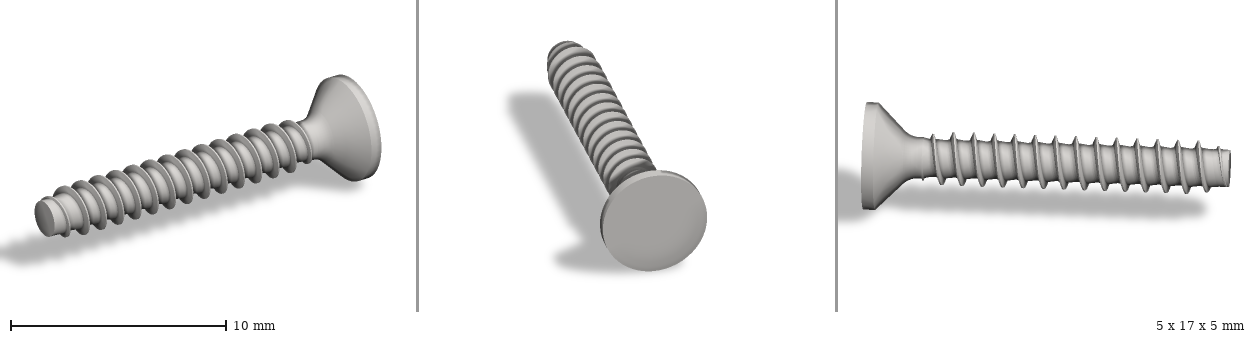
import cadquery as cq
import math


LENGTH = 17.0
HEAD_RADIUS = 2.5
HEAD_RIM = 0.55
CONE_END_RADIUS = 1.25
NECK_FILLET = 1.0
HEAD_HALF_ANGLE = math.radians(45)

CORE_RADIUS = 0.865
NECK_TAPER_START = 2.70
NECK_TAPER_END = 3.10
TIP_CONE_HEIGHT = 0.03
TIP_MARGIN = 0.005

PITCH = 0.95
THREAD_RADIUS = 1.25
THREAD_START = 2.73
THREAD_TURNS = 14.875
START_TURN = 0.5
RUN_IN_TURNS = 1.0
RUN_OUT_TURNS = 1.375
RUN_IN_RADIUS = 1.05
RUN_OUT_RADIUS = 0.91
STEPS_PER_TURN = 24
STEPS_PER_PATCH = STEPS_PER_TURN // 2

CREST_HALF_WIDTH = 0.035
HEAD_FLANK_WIDTH = 0.135
HEAD_FLANK_RADIUS = 0.90
TIP_FLANK_WIDTH = 0.095
TIP_FLANK_RADIUS = 0.93
HEAD_RAMP_OFFSET = -0.32
TIP_RAMP_OFFSET = 0.60
RAMP_RADIUS = 0.86
ROOT_RADIUS = 0.75

LEAD_TURNS = 0.375
LEAD_HALF_WIDTH = 0.045

cone_end = HEAD_RIM + (HEAD_RADIUS - CONE_END_RADIUS) / math.tan(HEAD_HALF_ANGLE)
neck_radius = CONE_END_RADIUS - NECK_FILLET * (1 - math.cos(HEAD_HALF_ANGLE))
neck_start = cone_end + NECK_FILLET * math.sin(HEAD_HALF_ANGLE)
tip_edge = LENGTH - TIP_CONE_HEIGHT
last_ramp_end = tip_edge - TIP_MARGIN


def make_blank():
    """Revolve the head, the neck and the plain core."""
    half_angle = HEAD_HALF_ANGLE / 2
    fillet_middle = (
        -(neck_start - NECK_FILLET * math.sin(half_angle)),
        neck_radius + NECK_FILLET * (1 - math.cos(half_angle)),
    )
    return (
        cq.Workplane("YZ")
        .moveTo(0, 0)
        .lineTo(0, HEAD_RADIUS)
        .lineTo(-HEAD_RIM, HEAD_RADIUS)
        .lineTo(-cone_end, CONE_END_RADIUS)
        .threePointArc(fillet_middle, (-neck_start, neck_radius))
        .lineTo(-NECK_TAPER_START, neck_radius)
        .lineTo(-NECK_TAPER_END, CORE_RADIUS)
        .lineTo(-tip_edge, CORE_RADIUS)
        .lineTo(-LENGTH, 0)
        .close()
        .revolve(360, (0, 0, 0), (1, 0, 0))
    )


def point_on_turn(turn, station, radius):
    """Point at a station and radius, turned from +Z by way of -X."""
    angle = 2 * math.pi * turn
    return cq.Vector(-radius * math.sin(angle), -station, radius * math.cos(angle))


def sweep_section(first_turn, turns, corners_at):
    """Solid swept around the axis; corners_at(t) lists (station, radius) after t turns.

    The skin is cut into patches of at most half a turn, each ruled between two curves.
    """
    steps = round(turns * STEPS_PER_TURN)
    sections = []
    for step in range(steps + 1):
        t = turns * step / steps
        sections.append([point_on_turn(first_turn + t, *corner) for corner in corners_at(t)])
    faces = []
    for start in range(0, steps, STEPS_PER_PATCH):
        patch = sections[start:start + STEPS_PER_PATCH + 1]
        edges = [cq.Edge.makeSpline(list(path)) for path in zip(*patch)]
        faces += [cq.Face.makeRuledSurface(edge, edges[i - 1]) for i, edge in enumerate(edges)]
    for end in (sections[0], sections[-1]):
        faces.append(cq.Face.makeFromWires(cq.Wire.makePolygon(end, close=True)))
    return cq.Solid.makeSolid(cq.Shell.makeShell(faces)).fix()


def crest_radius(t):
    """Crest radius of the helix after t turns, with its run-in and run-out."""
    run_in = RUN_IN_RADIUS + (THREAD_RADIUS - RUN_IN_RADIUS) * t / RUN_IN_TURNS
    turns_left = THREAD_TURNS - t
    run_out = RUN_OUT_RADIUS + (THREAD_RADIUS - RUN_OUT_RADIUS) * turns_left / RUN_OUT_TURNS
    return min(run_in, THREAD_RADIUS, run_out)


def helix_corners(t):
    """Thread section: buried root, shallow ramps, steep flanks and a narrow crest.

    The flanks shrink together with the thread height in the run-in and the run-out.
    """
    crest = crest_radius(t)
    height = (crest - RAMP_RADIUS) / (THREAD_RADIUS - RAMP_RADIUS)
    middle = THREAD_START + PITCH * t
    head_flank = middle - CREST_HALF_WIDTH - HEAD_FLANK_WIDTH * height
    tip_flank = middle + CREST_HALF_WIDTH + TIP_FLANK_WIDTH * height
    ramp_end = min(middle + TIP_RAMP_OFFSET, last_ramp_end)
    return [
        (middle + HEAD_RAMP_OFFSET, ROOT_RADIUS),
        (middle + HEAD_RAMP_OFFSET, RAMP_RADIUS),
        (head_flank, RAMP_RADIUS + (HEAD_FLANK_RADIUS - RAMP_RADIUS) * height),
        (middle - CREST_HALF_WIDTH, crest),
        (middle + CREST_HALF_WIDTH, crest),
        (tip_flank, RAMP_RADIUS + (TIP_FLANK_RADIUS - RAMP_RADIUS) * height),
        (ramp_end, RAMP_RADIUS),
        (ramp_end, ROOT_RADIUS),
    ]


def lead_corners(t):
    """Section of the level ridge, which rises out of the neck up to the helix crest."""
    growth = math.sin(math.pi / 2 * t / LEAD_TURNS)
    crest = TIP_FLANK_RADIUS + (RUN_IN_RADIUS - TIP_FLANK_RADIUS) * growth
    return [
        (THREAD_START - LEAD_HALF_WIDTH, ROOT_RADIUS),
        (THREAD_START - LEAD_HALF_WIDTH, HEAD_FLANK_RADIUS),
        (THREAD_START - CREST_HALF_WIDTH, crest),
        (THREAD_START + CREST_HALF_WIDTH, crest),
        (THREAD_START + LEAD_HALF_WIDTH, HEAD_FLANK_RADIUS),
        (THREAD_START + LEAD_HALF_WIDTH, ROOT_RADIUS),
    ]


helix = sweep_section(START_TURN, THREAD_TURNS, helix_corners)
lead_ridge = sweep_section(START_TURN - LEAD_TURNS, LEAD_TURNS, lead_corners)
result = make_blank().union(helix).union(lead_ridge)